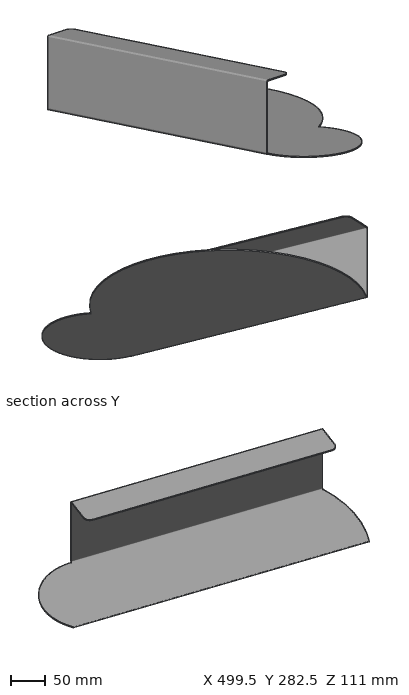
import cadquery as cq
import math

length = 499.5
depth = 282.5
height = 111.0

thickness = 2.0
bend_inner_radius = 1.0
bend_outer_radius = bend_inner_radius + thickness

big_radius = 200.0
small_radius = 83.5
bend_line_y = bend_outer_radius
big_x = big_radius
big_y = depth - big_radius
small_x = length - small_radius
small_y = bend_line_y + small_radius

wall_left = big_x - math.sqrt(big_radius**2 - (big_y - bend_line_y) ** 2)
wall_right = small_x
wall_length = wall_right - wall_left
flange_depth = 52.5
flange_corner_radius = 10.0


def disc_notch():
    """Upper point where the edges of the two discs cross."""
    dx = small_x - big_x
    dy = small_y - big_y
    spacing = math.hypot(dx, dy)
    along = (spacing**2 + big_radius**2 - small_radius**2) / (2 * spacing)
    across = math.sqrt(big_radius**2 - along**2)
    notch_x = big_x + (along * dx - across * dy) / spacing
    notch_y = big_y + (along * dy + across * dx) / spacing
    return notch_x, notch_y


def make_cloud_base():
    """Flat cloud plate behind the lower bend."""
    return (
        cq.Workplane("XY")
        .moveTo(wall_left, bend_line_y)
        .threePointArc((big_x, big_y + big_radius), disc_notch())
        .threePointArc((small_x + small_radius, small_y), (small_x, bend_line_y))
        .close()
        .extrude(thickness)
    )


def make_wall_and_flange():
    """Lower bend, front wall, upper bend and top flange, swept along X."""
    upper_bend_z = height - bend_outer_radius
    sheet = (
        cq.Workplane("YZ", origin=(wall_left, 0, 0))
        .moveTo(bend_line_y, 0)
        .radiusArc((0, bend_outer_radius), bend_outer_radius)
        .lineTo(0, upper_bend_z)
        .radiusArc((bend_outer_radius, height), bend_outer_radius)
        .lineTo(flange_depth, height)
        .lineTo(flange_depth, height - thickness)
        .lineTo(bend_outer_radius, height - thickness)
        .radiusArc((thickness, upper_bend_z), -bend_inner_radius)
        .lineTo(thickness, bend_outer_radius)
        .radiusArc((bend_line_y, thickness), -bend_inner_radius)
        .close()
        .extrude(wall_length)
    )
    return sheet.faces(">Y").edges("|Z").fillet(flange_corner_radius)


shelf = make_cloud_base().union(make_wall_and_flange())

result = cq.Compound.makeCompound([shelf.val()])